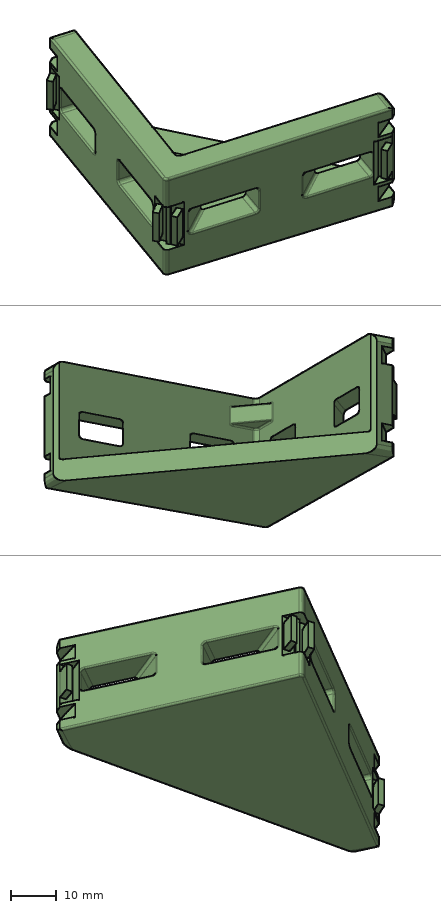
import cadquery as cq
import math

HEIGHT = 28.0
TAB_REACH = 1.9
WALL_LENGTH = 58.9 - TAB_REACH
WALL_THICKNESS = 6.0
MID_HEIGHT = HEIGHT / 2
MIRROR_NORMAL = (1, 1, 0)

END_FACE_INNER = 5.0
END_CHAMFER = 1.1
END_ROUNDING = 2.0
CORNER_RADIUS = 1.0
EDGE_RADIUS = 0.5
ROOT_RADIUS = 0.4

FLOOR_THICKNESS = 5.0
FLOOR_TILT = 1

RIB_HEIGHT = 4.0
RIB_OFFSET = 9.0
GUSSET_LEG = 6.9
GUSSET_EDGE_RADIUS = 0.25
NOTCH_LENGTH = 4.6
NOTCH_DEPTH = 3.7

SLOT_LENGTH = 11.1
SLOT_HEIGHT = 6.3
SLOT_RADIUS = 0.9
SLOT_DRAFT = 0.25
SLOT_RIM_RADIUS = 0.38
SLOT_SLANT = 6.1
SLOT_STARTS = (6.0, 34.1)

GROOVE_HEIGHT = 12.0
GROOVE_DEPTH = 2.25
CORNER_CUT = 4.75
RIDGE_WIDTH = 0.9
RIDGE_REACH = 0.8
TAB_HEIGHT = 8.0
TAB_THICKNESS = 1.5
TAB_ANGLE = 42
CORNER_TAB_INSET = 0.25

BIG = 3 * WALL_LENGTH


def prism(points, bottom, height):
    return cq.Workplane("XY", origin=(0, 0, bottom)).polyline(points).close().extrude(height)


def centered_prism(points, height, middle=MID_HEIGHT):
    return prism(points, middle - height / 2, height)


def below_tilted_plane(height):
    """Everything below the tilted plane that is at this height on the sloping side."""
    tilt = math.radians(FLOOR_TILT)
    lean = math.sin(tilt) / math.sqrt(2)
    plane = cq.Plane(
        origin=(-WALL_LENGTH, END_FACE_INNER, height),
        xDir=(1, 1, 0),
        normal=(-lean, lean, math.cos(tilt)),
    )
    return cq.Workplane(plane).rect(BIG, BIG).extrude(-HEIGHT)


def block():
    outline = [
        (0, 0),
        (-WALL_LENGTH, 0),
        (-WALL_LENGTH, END_FACE_INNER),
        (-END_FACE_INNER, WALL_LENGTH),
        (0, WALL_LENGTH),
    ]
    solid = prism(outline, 0, HEIGHT).cut(below_tilted_plane(0))
    solid = solid.edges(cq.NearestToPointSelector((0, 0, MID_HEIGHT))).fillet(CORNER_RADIUS)
    rim = solid.faces("<Y or >X").edges("not |Z")
    corner_arcs = solid.edges("%CIRCLE or %ELLIPSE")
    return solid.newObject(rim.vals() + corner_arcs.vals()).fillet(EDGE_RADIUS)


def wall_roots(low, high):
    """Selects edges on the inner faces of both walls, between two heights."""
    depth = WALL_THICKNESS + CORNER_RADIUS / 2
    x_wall = cq.selectors.BoxSelector((-BIG, 0, low), (0, depth, high))
    y_wall = cq.selectors.BoxSelector((-depth, 0, low), (0, BIG, high))
    return x_wall + y_wall


def cavity():
    """The space between the walls, above the floor and around the gusset."""
    wall = WALL_THICKNESS
    reach = WALL_LENGTH + 2 * wall
    solid = prism([(-wall, wall), (-reach, wall), (-wall, reach)], 0, HEIGHT)
    solid = solid.edges(cq.NearestToPointSelector((-wall, wall, MID_HEIGHT))).fillet(CORNER_RADIUS)
    solid = solid.cut(below_tilted_plane(FLOOR_THICKNESS))

    tip = wall + GUSSET_LEG
    rib_middle = MID_HEIGHT + RIB_OFFSET
    gusset = [(0, 0), (0, tip), (-wall, tip), (-tip, wall), (-tip, 0)]
    rib = centered_prism(gusset, RIB_HEIGHT, rib_middle)
    sloping_side = cq.selectors.DirectionMinMaxSelector(cq.Vector(-1, 1, 0))
    rib = rib.faces(sloping_side).edges("not |Z").fillet(GUSSET_EDGE_RADIUS)
    solid = solid.cut(rib)

    floor_zone = (0, 2 * FLOOR_THICKNESS)
    gusset_zone = (rib_middle - RIB_HEIGHT, rib_middle + RIB_HEIGHT)
    for low, high in (floor_zone, gusset_zone):
        solid = solid.edges(wall_roots(low, high)).fillet(ROOT_RADIUS)
    return solid


def slot_section(y, left, length, height):
    middle = (left + length / 2, y, MID_HEIGHT)
    return (
        cq.Workplane("XZ", origin=middle)
        .rect(length, height)
        .extrude(-0.6)
        .edges("|Y")
        .fillet(SLOT_RADIUS)
        .faces("<Y")
        .wires()
        .val()
    )


def slot(start):
    """A slot through the wall along X; the end nearer the corner slants outwards."""
    left = start - WALL_LENGTH
    inner = slot_section(WALL_THICKNESS, left, SLOT_LENGTH, SLOT_HEIGHT)
    outer = slot_section(
        0, left - SLOT_DRAFT, SLOT_LENGTH + SLOT_SLANT + SLOT_DRAFT, SLOT_HEIGHT + 2 * SLOT_DRAFT
    )
    return cq.Workplane(cq.Solid.makeLoft([inner, outer], True))


def mouth_edges(start):
    """Selects the rim of a slot on the outer face."""
    left = start - WALL_LENGTH - SLOT_RADIUS
    right = left + SLOT_LENGTH + SLOT_SLANT + 2 * SLOT_RADIUS
    return cq.selectors.BoxSelector(
        (left, -SLOT_DRAFT, MID_HEIGHT - SLOT_HEIGHT),
        (right, SLOT_DRAFT, MID_HEIGHT + SLOT_HEIGHT),
    )


def cut_slots(part):
    for start in SLOT_STARTS:
        part = part.cut(slot(start))
        part = part.edges(mouth_edges(start)).fillet(SLOT_RIM_RADIUS)
    return part


def shape_wall_end(part):
    """Rounds the wall end, chamfers its outer corner and cuts the notches and the V groove."""
    end = -WALL_LENGTH
    rounded = (
        cq.Workplane("XY")
        .box(BIG, BIG, HEIGHT, centered=(False, True, False))
        .edges("|Y and <X")
        .fillet(END_ROUNDING)
        .translate((end, 0, 0))
    )
    part = part.intersect(rounded)

    foot = end + END_CHAMFER
    part = part.cut(prism([(end, 0), (foot, 0), (end, END_CHAMFER)], 0, HEIGHT))

    notch = [(end, 0), (end + NOTCH_LENGTH, 0), (end, NOTCH_DEPTH)]
    for offset in (-RIB_OFFSET, RIB_OFFSET):
        part = part.cut(centered_prism(notch, RIB_HEIGHT, MID_HEIGHT + offset))

    groove = [(foot, 0), (foot + 2 * GROOVE_DEPTH, 0), (foot + GROOVE_DEPTH, GROOVE_DEPTH)]
    return part.cut(centered_prism(groove, GROOVE_HEIGHT))


def cut_outer_corner(part):
    """Cuts the outer corner off at 45 degrees, leaving a small ridge on the diagonal."""
    corner = centered_prism([(-CORNER_CUT, 0), (0, CORNER_CUT), (0, 0)], GROOVE_HEIGHT)
    ridge = (
        cq.Workplane("XY")
        .box(2 * RIDGE_REACH, RIDGE_WIDTH, GROOVE_HEIGHT)
        .rotate((0, 0, 0), (0, 0, 1), -45)
        .translate((-CORNER_CUT / 2, CORNER_CUT / 2, MID_HEIGHT))
    )
    return part.cut(corner.cut(ridge))


def tab(root_x, root_y):
    """A snap tab on a 45 degree wall, with its tip TAB_REACH outside the face of the X wall."""
    angle = math.radians(TAB_ANGLE)
    tip_x = root_x + (root_y + TAB_REACH) / math.tan(angle)
    side_x = tip_x + TAB_THICKNESS * math.sin(angle)
    side_y = -TAB_REACH + TAB_THICKNESS * math.cos(angle)
    root_width = TAB_THICKNESS / (math.sin(angle) + math.cos(angle))
    outline = [
        (root_x, root_y),
        (tip_x, -TAB_REACH),
        (side_x, side_y),
        (root_x + root_width, root_y + root_width),
    ]
    return centered_prism(outline, TAB_HEIGHT)


def add_tabs(part):
    part = part.union(tab(END_CHAMFER - WALL_LENGTH, 0))
    return part.union(tab(CORNER_TAB_INSET - CORNER_CUT, CORNER_TAB_INSET))


result = block().cut(cavity())
result = cut_outer_corner(result)
for _ in range(2):
    result = add_tabs(shape_wall_end(cut_slots(result)))
    result = result.mirror(MIRROR_NORMAL)